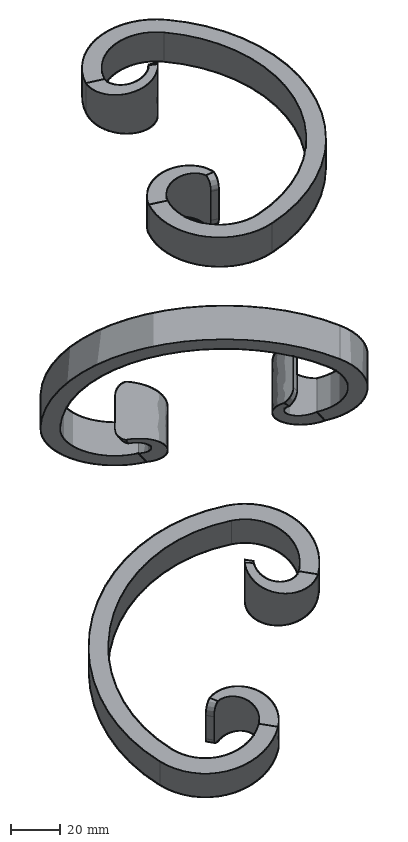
import cadquery as cq
import math

band_thickness = 8.0
band_height = 15.7
overall_width = 139.9
side_radius = 30.1
arch_rise = 54.8

curl_radius = 15.0
tip_thickness = 3.5
tip_height = 28.3
rounding_block_height = 27.4
tip_corner_radius = 6.0
curl_sections = 9

side_x = overall_width / 2 - side_radius

rise_difference = arch_rise - side_radius
arch_centre_y = -(side_x**2 - rise_difference**2) / (2 * rise_difference)
arch_radius = arch_rise - arch_centre_y
joint_angle = math.atan2(-arch_centre_y, side_x)

curl_centre_y = -side_radius + curl_radius
curl_inner_radius = (2 * curl_radius - band_thickness - tip_thickness) / 2
curl_inner_centre_y = -side_radius + band_thickness + curl_inner_radius


def arc_point(centre, radius, angle):
    """Point on a circle in the XY plane."""
    return (centre[0] + radius * math.cos(angle), centre[1] + radius * math.sin(angle))


def band_arc(centre, outer_radius, start_angle, end_angle):
    """Constant-section stretch of band that follows a circular arc."""
    inner_radius = outer_radius - band_thickness
    middle_angle = (start_angle + end_angle) / 2
    return (
        cq.Workplane("XY")
        .workplane(offset=-band_height / 2)
        .moveTo(*arc_point(centre, outer_radius, start_angle))
        .threePointArc(
            arc_point(centre, outer_radius, middle_angle),
            arc_point(centre, outer_radius, end_angle),
        )
        .lineTo(*arc_point(centre, inner_radius, end_angle))
        .threePointArc(
            arc_point(centre, inner_radius, middle_angle),
            arc_point(centre, inner_radius, start_angle),
        )
        .close()
        .extrude(band_height)
    )


def curl_section(turn):
    """Upright rectangle across the left curl; turn runs from 0 at the band to 1 at the tip."""
    angle = -math.pi / 2 + math.pi * turn
    half_height = (band_height + (tip_height - band_height) * turn) / 2
    outer = arc_point((-side_x, curl_centre_y), curl_radius, angle)
    inner = arc_point((-side_x, curl_inner_centre_y), curl_inner_radius, angle)
    corners = [
        cq.Vector(*outer, -half_height),
        cq.Vector(*outer, half_height),
        cq.Vector(*inner, half_height),
        cq.Vector(*inner, -half_height),
    ]
    return cq.Wire.makePolygon(corners, close=True)


def left_curl():
    """Half-turn curl with its upper and lower tip corners rounded."""
    sections = [curl_section(i / (curl_sections - 1)) for i in range(curl_sections)]
    curl = cq.Workplane(cq.Solid.makeLoft(sections))
    rounding_block = (
        cq.Workplane("XY")
        .box(2 * curl_radius, 2 * side_radius, rounding_block_height)
        .edges("|Y and <X")
        .fillet(tip_corner_radius)
        .translate((curl_radius - side_x, -side_radius, 0))
    )
    return curl.intersect(rounding_block)


arch = band_arc((0, arch_centre_y), arch_radius, joint_angle, math.pi - joint_angle)
left_side = band_arc((-side_x, 0), side_radius, math.pi - joint_angle, 1.5 * math.pi)
left_end = left_side.union(left_curl())
result = arch.union(left_end).union(left_end.mirror("YZ"))